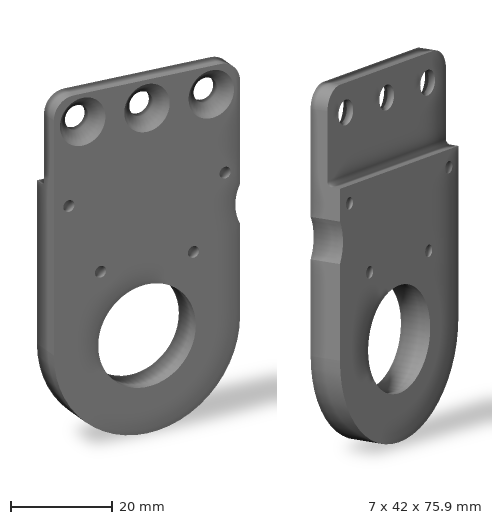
import cadquery as cq

width = 42.0
height = 75.9
thickness = 7.0
end_radius = width / 2
corner_radius = 4.5

step_depth = 2.95
step_height = 56.0
step_fillet = 1.0

bore_diameter = 22.0
mount_diameter = 5.2
mount_spacing = 14.5
mount_height = 69.8
sink_depth = 2.5
sink_diameter = mount_diameter + 2 * sink_depth
pin_diameter = 2.5
upper_pin_offset = 17.6
upper_pin_height = 52.4
lower_pin_offset = 10.5
lower_pin_height = 36.8

notch_height = 45.0
notch_depth = 1.1
notch_half_length = 4.3
notch_radius = (notch_half_length**2 + notch_depth**2) / (2 * notch_depth)


def through_cylinders(diameter, places):
    """Cylinders along X through the whole plate at (y, z) places."""
    return cq.Workplane("YZ").pushPoints(places).circle(diameter / 2).extrude(thickness)


def make_countersinks(places):
    """Cones that widen the mounting holes toward the +X face."""
    cone = cq.Solid.makeCone(
        mount_diameter / 2, sink_diameter / 2, sink_depth, cq.Vector(0, 0, 0), cq.Vector(1, 0, 0)
    )
    sinks = cq.Workplane("XY")
    for y, z in places:
        sinks = sinks.add(cone.translate(cq.Vector(thickness - sink_depth, y, z)))
    return sinks.combine()


def make_plate():
    """Plate with a full round lower end and two rounded top corners."""
    return (
        cq.Workplane("YZ")
        .moveTo(-end_radius, end_radius)
        .threePointArc((0, 0), (end_radius, end_radius))
        .lineTo(end_radius, height)
        .lineTo(-end_radius, height)
        .close()
        .extrude(thickness)
        .edges("|X and >Z")
        .fillet(corner_radius)
    )


def make_step_cut():
    """Block removed from the -X face above the step, rounded at its inner corner."""
    return (
        cq.Workplane("XY")
        .box(step_depth, width, height - step_height, centered=(False, True, False))
        .translate((0, 0, step_height))
        .edges(">X and <Z")
        .fillet(step_fillet)
    )


mount_places = [(y, mount_height) for y in (-mount_spacing, 0, mount_spacing)]
pin_places = [
    (side * offset, z)
    for offset, z in ((upper_pin_offset, upper_pin_height), (lower_pin_offset, lower_pin_height))
    for side in (-1, 1)
]
notch_place = (end_radius - notch_depth + notch_radius, notch_height)

result = (
    make_plate()
    .cut(make_step_cut())
    .cut(through_cylinders(bore_diameter, [(0, end_radius)]))
    .cut(through_cylinders(mount_diameter, mount_places))
    .cut(make_countersinks(mount_places))
    .cut(through_cylinders(pin_diameter, pin_places))
    .cut(through_cylinders(2 * notch_radius, [notch_place]))
    .translate((-thickness / 2, 0, 0))
)